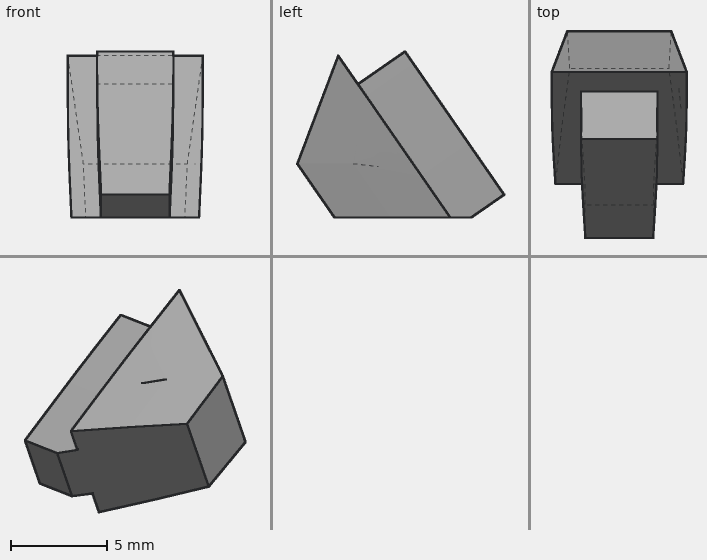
import cadquery as cq
import math

TOTAL_LENGTH = 10.78
TOTAL_HEIGHT = 8.66
HALF_WIDTH = 7.04 / 2

SEAT_ANGLE = math.radians(55.3)
SEAT_LENGTH = 10.26

TAB_HALF_WIDTH = 1.98
TAB_HEIGHT = 2.99
TAB_OVERHANG = 0.61

RIDGE_HEIGHT = 2.8
RIDGE_HALF_WIDTH = 2.71

BEND_DISTANCE = 5.17
BEND_TANGENT = 2.53
BEND_ANGLE = math.radians(2.1)

SLOPE_COS = math.cos(SEAT_ANGLE)
SLOPE_SIN = math.sin(SEAT_ANGLE)
FOOT_Y = TAB_OVERHANG * SLOPE_COS + TAB_HEIGHT * SLOPE_SIN
TAB_TOP = (TOTAL_HEIGHT - TAB_HEIGHT * SLOPE_COS) / SLOPE_SIN

BODY_DEPTH = (TOTAL_LENGTH - FOOT_Y) * SLOPE_SIN - RIDGE_HEIGHT * SLOPE_COS
RIDGE_DISTANCE = (TOTAL_LENGTH - FOOT_Y) * SLOPE_COS + RIDGE_HEIGHT * SLOPE_SIN
BEND_DEPTH = (BEND_DISTANCE * SLOPE_SIN - RIDGE_HEIGHT) / SLOPE_COS
SIDE_DRAFT = (HALF_WIDTH - RIDGE_HALF_WIDTH) / BODY_DEPTH
LEAN = math.tan(BEND_ANGLE)

SEAT = cq.Plane(origin=(0, FOOT_Y, 0), xDir=(1, 0, 0), normal=(0, -SLOPE_SIN, SLOPE_COS))


def bend_points(half_width):
    """Upper end, middle and lower end of the arc that rounds the bend."""
    radius = BEND_TANGENT / math.tan(BEND_ANGLE / 2)
    arc_top = BEND_DISTANCE + BEND_TANGENT

    def arc_point(angle):
        return half_width - radius * (1 - math.cos(angle)), arc_top - radius * math.sin(angle)

    return arc_point(0), arc_point(BEND_ANGLE / 2), arc_point(BEND_ANGLE)


def flat_face(outline_edges):
    """Flat face inside a closed chain of edges."""
    return cq.Face.makeFromWires(cq.Wire.assembleEdges(outline_edges))


def polygon_edges(points, closed=True):
    """Straight edges through the points in order."""
    ends = points[1:] + points[:1] if closed else points[1:]
    return [cq.Edge.makeLine(start, end) for start, end in zip(points, ends)]


def side_corners(side):
    """Corners of one side of the body in space; side is 1 for +X and -1 for -X."""
    bend_half_width = HALF_WIDTH - SIDE_DRAFT * BEND_DEPTH
    depth_to_rise = SLOPE_COS / SLOPE_SIN
    bend_base = BEND_DEPTH * depth_to_rise
    back_base = BODY_DEPTH * depth_to_rise
    upper, middle, lower = bend_points(HALF_WIDTH)
    local_corners = {
        "apex": (side * HALF_WIDTH, SEAT_LENGTH, 0),
        "arc_upper": (side * upper[0], upper[1], 0),
        "arc_middle": (side * middle[0], middle[1], 0),
        "arc_lower": (side * lower[0], lower[1], 0),
        "foot": (side * (HALF_WIDTH - LEAN * BEND_DISTANCE), 0, 0),
        "inner_bend": (side * bend_half_width, BEND_DISTANCE, -BEND_DEPTH),
        "inner_base": (
            side * (bend_half_width - LEAN * (BEND_DISTANCE - bend_base)),
            bend_base,
            -BEND_DEPTH,
        ),
        "ridge": (side * RIDGE_HALF_WIDTH, RIDGE_DISTANCE, -BODY_DEPTH),
        "back_base": (
            side * (RIDGE_HALF_WIDTH - LEAN * (RIDGE_DISTANCE - back_base)),
            back_base,
            -BODY_DEPTH,
        ),
    }
    return {name: SEAT.toWorldCoords(point) for name, point in local_corners.items()}


def make_body():
    """Body with drafted sides, each rounded by a cone that narrows to its inner bend."""
    cross_panels = [
        ["foot", "inner_base", "back_base"],
        ["back_base", "ridge"],
        ["ridge", "apex"],
    ]
    side_panels = [
        ["apex", "arc_upper", "inner_bend", "ridge"],
        ["arc_lower", "foot", "inner_base", "inner_bend"],
        ["inner_bend", "inner_base", "back_base", "ridge"],
    ]
    left = side_corners(-1)
    right = side_corners(1)
    faces = []
    for names in cross_panels:
        outline = [left[name] for name in names] + [right[name] for name in reversed(names)]
        faces.append(flat_face(polygon_edges(outline)))

    seat_edges = polygon_edges([left["apex"], right["apex"]], closed=False)
    seat_edges += polygon_edges([left["foot"], right["foot"]], closed=False)
    for corners in (left, right):
        for names in side_panels:
            faces.append(flat_face(polygon_edges([corners[name] for name in names])))
        arc = cq.Edge.makeThreePointArc(
            corners["arc_upper"], corners["arc_middle"], corners["arc_lower"]
        )
        cone_tip = cq.Vertex.makeVertex(*corners["inner_bend"].toTuple())
        faces += cq.occ_impl.shapes.loft([arc, cone_tip], ruled=True).Faces()
        seat_edges.append(arc)
        seat_edges += polygon_edges([corners["apex"], corners["arc_upper"]], closed=False)
        seat_edges += polygon_edges([corners["arc_lower"], corners["foot"]], closed=False)
    seat_outline = cq.Wire.combine(seat_edges)[0]
    faces.append(cq.Face.makeFromWires(seat_outline))
    return cq.Solid.makeSolid(cq.Shell.makeShell(faces)).fix()


def make_tab():
    """Tab following the bend of the body's sides, cut level with the base."""
    upper, middle, lower = bend_points(TAB_HALF_WIDTH)
    end_half_width = TAB_HALF_WIDTH - LEAN * (BEND_DISTANCE + TAB_OVERHANG)
    tab = (
        cq.Workplane(SEAT)
        .moveTo(TAB_HALF_WIDTH, TAB_TOP)
        .lineTo(*upper)
        .threePointArc(middle, lower)
        .lineTo(end_half_width, -TAB_OVERHANG)
        .lineTo(-end_half_width, -TAB_OVERHANG)
        .lineTo(-lower[0], lower[1])
        .threePointArc((-middle[0], middle[1]), (-upper[0], upper[1]))
        .lineTo(-TAB_HALF_WIDTH, TAB_TOP)
        .close()
        .extrude(TAB_HEIGHT)
    )
    above_base = cq.Workplane("XY").box(
        2 * HALF_WIDTH, 2 * TOTAL_LENGTH, TOTAL_HEIGHT, centered=(True, True, False)
    )
    return tab.intersect(above_base)


joined = cq.Workplane(obj=make_body()).union(make_tab())
result = cq.Workplane(obj=joined.solids().val())